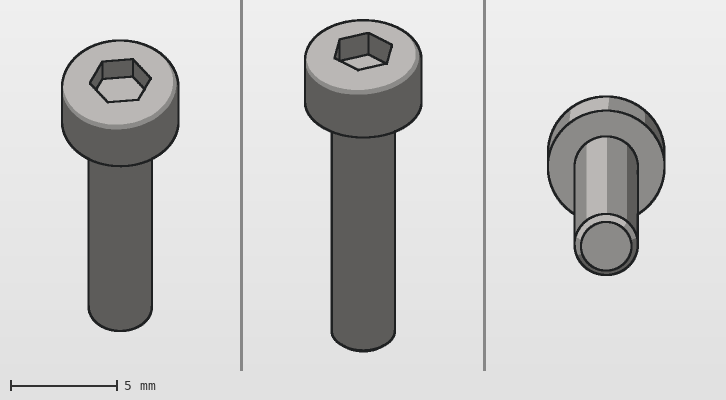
import cadquery as cq
import math

total_length = 17.0
head_diameter = 5.5
head_height = 3.0
head_edge_radius = 0.55
shank_diameter = 3.0
tip_chamfer = 0.3
socket_across_flats = 2.5
socket_depth = 1.3

shank_length = total_length - head_height
socket_across_corners = socket_across_flats / math.cos(math.radians(30))


def make_shank():
    """Plain round shank, from its chamfered tip up to the head."""
    shank = cq.Workplane("XY").circle(shank_diameter / 2).extrude(shank_length)
    return shank.faces("<Z").edges().chamfer(tip_chamfer)


def make_head():
    """Cylindrical head with a rounded top edge."""
    head = cq.Workplane("XY", origin=(0, 0, shank_length)).circle(head_diameter / 2).extrude(head_height)
    return head.faces(">Z").edges().fillet(head_edge_radius)


def make_socket():
    """Blind hexagonal socket, with two corners on the X axis."""
    socket = cq.Workplane("XY", origin=(0, 0, total_length)).polygon(6, socket_across_corners)
    return socket.extrude(-socket_depth)


result = make_shank().union(make_head()).cut(make_socket())